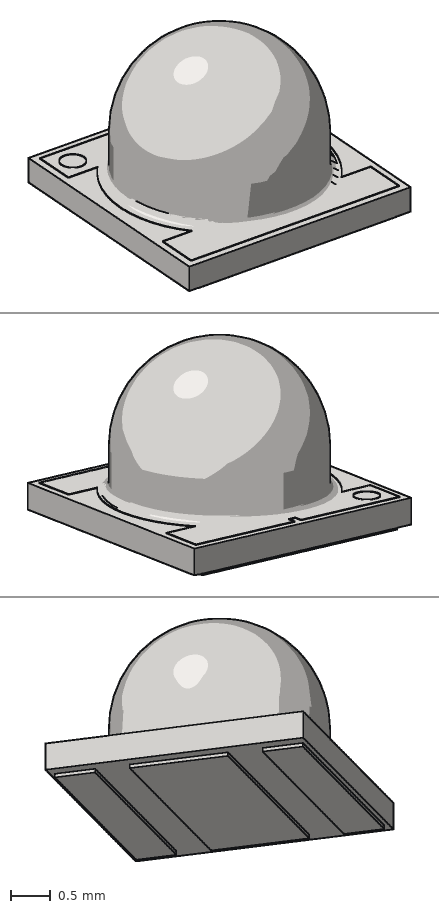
import cadquery as cq

plate_x = 3.45
plate_y = 3.46
plate_thickness = 0.355

pad_thickness = 0.05
pad_length = 3.107
side_pad_width = 0.54
center_pad_width = 1.315
pad_gap = 0.465

copper_thickness = 0.01
copper_margin = 0.105
copper_strip_width = 0.61
copper_disc_radius = 1.545
copper_gap = 0.105

mark_radius = 0.173
mark_corner_offset = 0.298

total_height = 2.4
lens_radius = 1.4
foot_flare = 0.1

plate_top = pad_thickness + plate_thickness
copper_top = plate_top + copper_thickness
dome_base = total_height - lens_radius

copper_x = plate_x - 2 * copper_margin
copper_y = plate_y - 2 * copper_margin
foot_radius = lens_radius + foot_flare


def block(size_x, size_y, height, base, center_x=0.0, center_y=0.0):
    """Upright box centered on (center_x, center_y), standing on level base."""
    return (
        cq.Workplane("XY", origin=(center_x, center_y, base))
        .rect(size_x, size_y)
        .extrude(height)
    )


def make_solder_pads():
    """Center pad with a narrower pad on either side."""
    side_pad_x = center_pad_width / 2 + pad_gap + side_pad_width / 2
    pads = block(center_pad_width, pad_length, pad_thickness, 0)
    for side in (-1, 1):
        pads = pads.union(block(side_pad_width, pad_length, pad_thickness, 0, side * side_pad_x))
    return pads


def make_copper():
    """Disc joined to two edge strips; a gap splits the -X strip and a round mark opens its corner."""
    copper = cq.Workplane("XY", origin=(0, 0, plate_top)).circle(copper_disc_radius).extrude(copper_thickness)
    strip_x = (copper_x - copper_strip_width) / 2
    for side in (-1, 1):
        copper = copper.union(block(copper_strip_width, copper_y, copper_thickness, plate_top, side * strip_x))

    gap_length = copper_x / 2 - foot_radius
    gap_x = -(foot_radius + gap_length / 2)
    gap = block(gap_length, copper_gap, copper_thickness, plate_top, gap_x)

    mark_x = -(copper_x / 2 - mark_corner_offset)
    mark_y = -(copper_y / 2 - mark_corner_offset)
    mark = (
        cq.Workplane("XY", origin=(mark_x, mark_y, plate_top))
        .circle(mark_radius)
        .extrude(copper_thickness)
    )
    return copper.cut(gap).cut(mark)


def make_lens():
    """Half profile in the XZ plane, revolved about the Z axis."""
    flare_top = copper_top + foot_flare
    return (
        cq.Workplane("XZ")
        .moveTo(0, copper_top)
        .lineTo(foot_radius, copper_top)
        .radiusArc((lens_radius, flare_top), foot_flare)
        .lineTo(lens_radius, dome_base)
        .radiusArc((0, total_height), -lens_radius)
        .close()
        .revolve(360, (0, 0), (0, 1))
    )


plate = block(plate_x, plate_y, plate_thickness, pad_thickness)
result = plate.union(make_solder_pads()).union(make_copper()).union(make_lens())